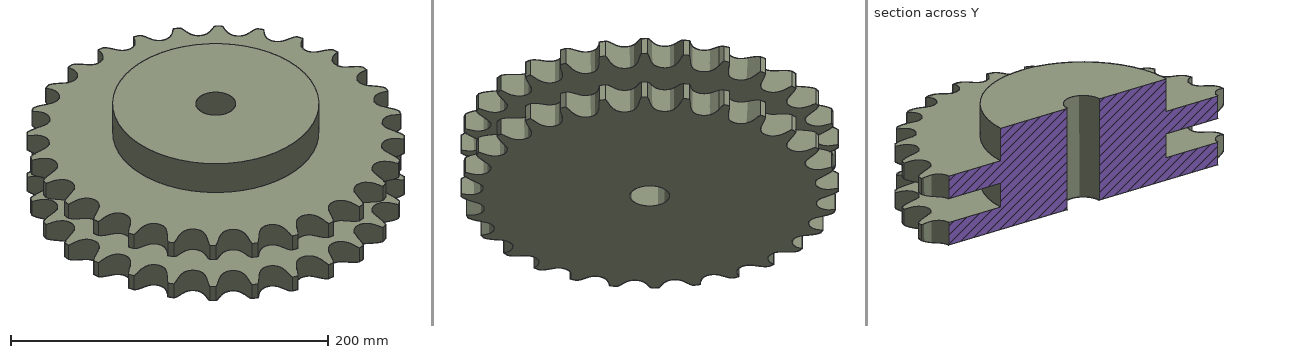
import cadquery as cq
import math


TOOTH_COUNT = 28
CHAIN_PITCH = 25.4
ROLLER_DIAMETER = 15.88
OUTER_RADIUS = 118.85
PITCH_RADIUS = CHAIN_PITCH / (2 * math.sin(math.pi / TOOTH_COUNT))

SEAT_CLEARANCE = 0.038
SEAT_RADIUS = 0.5025 * ROLLER_DIAMETER + SEAT_CLEARANCE
SEAT_END_ANGLE = 35 + 60 / TOOTH_COUNT
WORKING_ANGLE = 18 - 56 / TOOTH_COUNT
TOPPING_ANGLE = 17 - 64 / TOOTH_COUNT
FLANK_ANGLE = SEAT_END_ANGLE - WORKING_ANGLE
WORKING_OFFSET = 0.8 * ROLLER_DIAMETER
TOPPING_OFFSET = 1.4 * ROLLER_DIAMETER
WORKING_RADIUS = SEAT_RADIUS + WORKING_OFFSET

PLATE_THICKNESS = 15.8
STRAND_SPACING = 31.88
PLATE_BOTTOMS = (0.0, STRAND_SPACING)
TIP_RELIEF_DEPTH = 2.5
TIP_RELIEF_RADIUS = 26.0

HUB_DIAMETER = 130.0
TOTAL_HEIGHT = 70.0
BORE_DIAMETER = 25.0

CUT_MARGIN = 1.0


def relief_reach(depth):
    """Radial distance from the start of the relief arc to where it is `depth` below the face."""
    return math.sqrt(TIP_RELIEF_RADIUS ** 2 - (TIP_RELIEF_RADIUS - depth) ** 2)


def plate_blank(bottom):
    """Turned disc whose rim is thinned on both sides by the relief arcs."""
    top = bottom + PLATE_THICKNESS
    relief_start = OUTER_RADIUS - relief_reach(TIP_RELIEF_DEPTH)
    middle_depth = TIP_RELIEF_DEPTH / 4
    middle_radius = relief_start + relief_reach(middle_depth)
    return (
        cq.Workplane("XZ")
        .moveTo(0, bottom)
        .lineTo(relief_start, bottom)
        .threePointArc((middle_radius, bottom + middle_depth), (OUTER_RADIUS, bottom + TIP_RELIEF_DEPTH))
        .lineTo(OUTER_RADIUS, top - TIP_RELIEF_DEPTH)
        .threePointArc((middle_radius, top - middle_depth), (relief_start, top))
        .lineTo(0, top)
        .close()
        .revolve(360, (0, 0, 0), (0, 1, 0))
    )


def on_circle(centre, radius, angle):
    """Point on a circle; the angle is in degrees, counterclockwise from +X."""
    direction = math.radians(angle)
    return (centre[0] + radius * math.cos(direction), centre[1] + radius * math.sin(direction))


def tooth_gap():
    """Cutter for the tooth gap on +Y, drawn as its +X half and mirrored."""
    working_sine = math.sin(math.radians(WORKING_ANGLE))
    working_cosine = math.cos(math.radians(WORKING_ANGLE))
    topping_sine = math.sin(math.radians(TOPPING_ANGLE))
    topping_cosine = math.cos(math.radians(TOPPING_ANGLE))
    flank_length = TOPPING_OFFSET * topping_sine - WORKING_OFFSET * working_sine
    topping_radius = TOPPING_OFFSET * topping_cosine + WORKING_OFFSET * working_cosine - WORKING_RADIUS

    roller_centre = (0, PITCH_RADIUS)
    seat_bottom = on_circle(roller_centre, SEAT_RADIUS, -90)
    seat_middle = on_circle(roller_centre, SEAT_RADIUS, -(90 + SEAT_END_ANGLE) / 2)
    seat_end = on_circle(roller_centre, SEAT_RADIUS, -SEAT_END_ANGLE)

    working_centre = on_circle(roller_centre, WORKING_OFFSET, 180 - SEAT_END_ANGLE)
    working_middle = on_circle(working_centre, WORKING_RADIUS, -(SEAT_END_ANGLE + FLANK_ANGLE) / 2)
    working_end = on_circle(working_centre, WORKING_RADIUS, -FLANK_ANGLE)

    flank_end = on_circle(working_end, flank_length, 90 - FLANK_ANGLE)
    topping_centre = on_circle(flank_end, topping_radius, -FLANK_ANGLE)
    mouth_y = OUTER_RADIUS + CUT_MARGIN
    mouth_angle = math.degrees(math.asin((mouth_y - topping_centre[1]) / topping_radius))
    topping_middle = on_circle(topping_centre, topping_radius, 180 - (FLANK_ANGLE + mouth_angle) / 2)
    topping_end = on_circle(topping_centre, topping_radius, 180 - mouth_angle)

    half_gap = (
        cq.Workplane("XY")
        .workplane(offset=-CUT_MARGIN)
        .moveTo(*seat_bottom)
        .threePointArc(seat_middle, seat_end)
        .threePointArc(working_middle, working_end)
        .lineTo(*flank_end)
        .threePointArc(topping_middle, topping_end)
        .lineTo(0, mouth_y)
    )
    return half_gap.mirrorY().extrude(TOTAL_HEIGHT + 2 * CUT_MARGIN)


def cut_teeth(body):
    """Cut every tooth gap through both plates."""
    gap = tooth_gap()
    for index in range(TOOTH_COUNT):
        angle = index * 360 / TOOTH_COUNT
        body = body.cut(gap.rotate((0, 0, 0), (0, 0, 1), angle))
    return body


def hub():
    """Cylinder that carries both plates and stands above the upper one."""
    return cq.Workplane("XY").circle(HUB_DIAMETER / 2).extrude(TOTAL_HEIGHT)


def bore():
    """Cutter for the through bore."""
    return cq.Workplane("XY").circle(BORE_DIAMETER / 2).extrude(TOTAL_HEIGHT)


sprocket = hub()
for plate_bottom in PLATE_BOTTOMS:
    sprocket = sprocket.union(plate_blank(plate_bottom))

result = cut_teeth(sprocket).cut(bore())